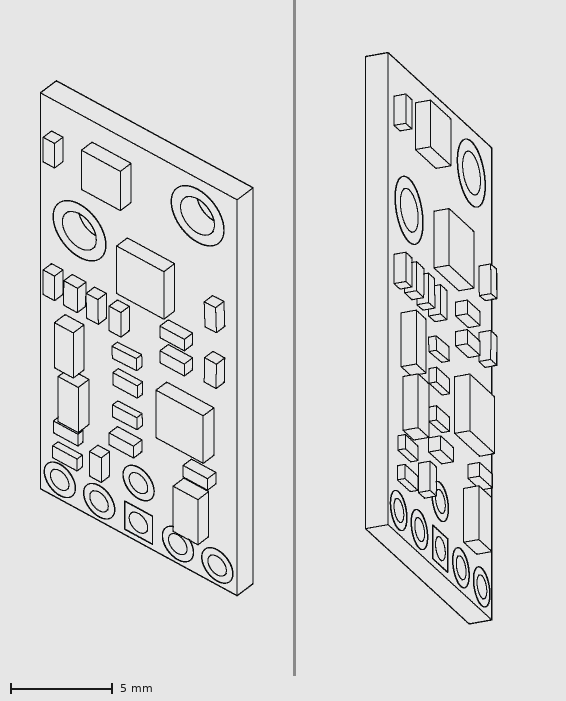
import cadquery as cq

BOARD_WIDTH = 12.7
BOARD_HEIGHT = 25.4
OVERALL_DEPTH = 2.03
TALL = 0.81
MEDIUM = 0.64
LOW = 0.4
BOARD_THICKNESS = OVERALL_DEPTH - TALL

PAD_THICKNESS = 0.03
PIN_PITCH = 2.55
PIN_COUNT = 5
PIN_EDGE = PIN_PITCH / 2
PIN_HOLE_DIAMETER = 1.2
PIN_PAD_DIAMETER = 2.0
SQUARE_PAD_SIDE = 1.8
MOUNT_HOLE_DIAMETER = 2.18
MOUNT_PAD_DIAMETER = 3.4
MOUNT_CENTERS = [(2.55, 17.93), (10.15, 23.0)]

SMALL_CHIP_SIDE = 2.51
LARGE_CHIP_SIDE = 3.05
BLOCK_LENGTH = 2.9

PASSIVE_LENGTH = 1.57

CHIPS = [
    (4.6, 22.78, SMALL_CHIP_SIDE, SMALL_CHIP_SIDE),
    (7.15, 17.6, LARGE_CHIP_SIDE, LARGE_CHIP_SIDE),
    (9.68, 9.73, LARGE_CHIP_SIDE, LARGE_CHIP_SIDE),
    (2.2, 10.6, 1.22, BLOCK_LENGTH),
    (2.5, 7.26, 1.3, BLOCK_LENGTH),
    (10.05, 4.25, 1.6, BLOCK_LENGTH),
]

UPRIGHT_PASSIVES = [
    (1.1, 22.55, 0.74, 0, MEDIUM),
    (11.5, 17.63, 0.74, 2, MEDIUM),
    (1.1, 14.05, 0.74, 0, MEDIUM),
    (2.5, 14.07, 0.9, -1, MEDIUM),
    (3.89, 14.05, 0.75, 1, MEDIUM),
    (5.35, 14.02, 0.75, 0, MEDIUM),
    (11.5, 14.05, 0.75, -1, MEDIUM),
    (4.1, 4.01, 0.75, 0, MEDIUM),
]
FLAT_PASSIVES = [
    (9.05, 14.94, 0.74, 0, MEDIUM),
    (9.05, 13.34, 0.75, 0, MEDIUM),
    (5.77, 11.73, 0.75, 2, LOW),
    (5.82, 10.03, 0.8, 0, LOW),
    (5.8, 7.98, 0.75, 1, LOW),
    (5.77, 6.3, 0.75, 0, MEDIUM),
    (10.55, 6.8, 0.74, 0, MEDIUM),
    (1.98, 4.88, 0.75, 0, LOW),
    (1.93, 3.25, 0.75, 0, LOW),
]


def front_plane(x, z):
    """Sketch plane on the front face at (x, z), extruding toward -Y."""
    return cq.Workplane(cq.Plane(origin=(x, 0, z), xDir=(1, 0, 0), normal=(0, -1, 0)))


def block(x, z, width, height, depth, tilt=0):
    """Box standing on the front face, turned by tilt about its own center."""
    return front_plane(x, z).transformed(rotate=(0, 0, tilt)).rect(width, height).extrude(depth)


def round_pad(x, z, diameter):
    return front_plane(x, z).circle(diameter / 2).extrude(PAD_THICKNESS)


def through_hole(x, z, diameter):
    """Drill reaching one board thickness either way, so it clears pad and board."""
    return front_plane(x, z).circle(diameter / 2).extrude(BOARD_THICKNESS, both=True)


result = cq.Workplane("XY").box(BOARD_WIDTH, BOARD_THICKNESS, BOARD_HEIGHT, centered=False)

row_centers = [(PIN_EDGE + i * PIN_PITCH, PIN_EDGE) for i in range(PIN_COUNT)]
square_center = row_centers[PIN_COUNT // 2]
extra_center = (square_center[0], square_center[1] + PIN_PITCH)
pin_centers = row_centers + [extra_center]

for x, z in pin_centers:
    if (x, z) == square_center:
        pad = block(x, z, SQUARE_PAD_SIDE, SQUARE_PAD_SIDE, PAD_THICKNESS)
    else:
        pad = round_pad(x, z, PIN_PAD_DIAMETER)
    result = result.union(pad)
for x, z in MOUNT_CENTERS:
    result = result.union(round_pad(x, z, MOUNT_PAD_DIAMETER))

for x, z in pin_centers:
    result = result.cut(through_hole(x, z, PIN_HOLE_DIAMETER))
for x, z in MOUNT_CENTERS:
    result = result.cut(through_hole(x, z, MOUNT_HOLE_DIAMETER))

for x, z, width, height in CHIPS:
    result = result.union(block(x, z, width, height, TALL))
for x, z, width, tilt, depth in UPRIGHT_PASSIVES:
    result = result.union(block(x, z, width, PASSIVE_LENGTH, depth, tilt))
for x, z, width, tilt, depth in FLAT_PASSIVES:
    result = result.union(block(x, z, PASSIVE_LENGTH, width, depth, tilt))